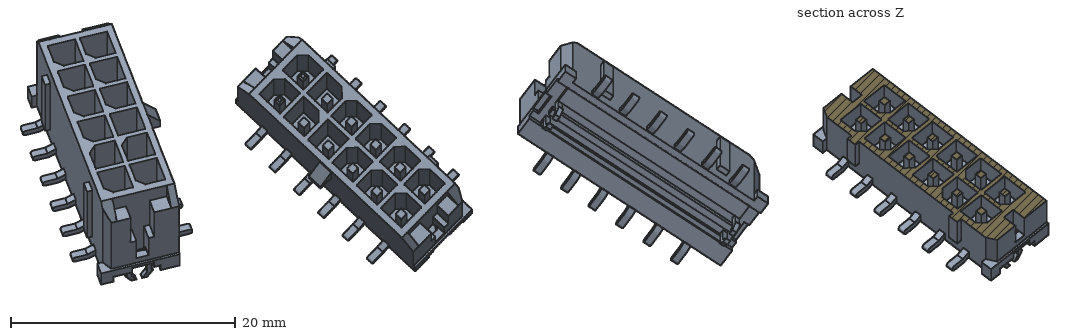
import cadquery as cq
import math


overall_length = 22.15
overall_depth = 11.2
overall_height = 11.96

pitch = 3.0
columns = 6
rows = 2

housing_top = 9.9
housing_depth = 6.86
housing_half_depth = housing_depth / 2
housing_half_length = 10.85
core_half_length = 9.45
shoulder_z = 8.3
corner_inset_x = 0.95
corner_inset_y = 0.52

foot_top = 1.63
foot_half_length = overall_length / 2
foot_inner_x = housing_half_length - corner_inset_x
foot_front_y = -3.93
foot_gap_z = 0.68
foot_gap_front_y = -2.76
foot_gap_back_y = 1.63
foot_notch_width = 2.02
foot_notch_depth = 0.55
foot_notch_top = 1.28

underside_z = 0.23
channel_width = 2.34
center_rib_width = 0.62

shoulder_recess_front_y = -2.38
shoulder_recess_back_y = 2.7
wide_slot_width = 2.2
wide_slot_floor = 4.78
narrow_slot_width = 1.14
narrow_slot_floor = 2.3
clip_pocket_floor = 1.6
clip_pocket_inner_x = 9.87
clip_pocket_outer_x = 10.15
clip_pocket_width = 0.84

cavity_size = 2.56
cavity_floor = 2.5
cavity_key = 0.7
square_cavities = [(3, 1)]
left_keyed_column = 4

contact_width = 0.7
contact_tip_z = 7.0
tapered_column = columns - 1
taper_tip_width = 0.3
taper_length = 0.2

lead_thickness = 0.61
lead_underside = -0.07
lead_reach = overall_depth / 2
lead_bend_y = 4.22
lead_slope = math.radians(22)
lead_embed = 0.5
lead_bend_radius = 0.8

rib_x = 6.34
rib_width = 1.03
rib_top = shoulder_z
rib_bottom = foot_top

hook_width = 1.43
hook_top = 9.33
hook_nose_top = 7.72
hook_underside = 6.97
hook_root_z = 6.47
hook_nose_y = 4.82
hook_curve_start_y = 4.0
hook_curve_radius = 1.0

clip_thickness = 0.48
clip_inner_x = foot_inner_x - clip_thickness
clip_tip_z = housing_top - overall_height
clip_leg_outer_y = 1.14
clip_leg_inner_y = 0.73
clip_barb_y = 1.28
clip_barb_top = -1.13
clip_barb_z = -1.27
clip_elbow_z = -1.37
clip_tip_outer_y = 0.72
clip_tip_inner_y = 0.26
clip_root_z = 1.0


def box(x_min, x_max, y_min, y_max, z_min, z_max):
    size = (x_max - x_min, y_max - y_min, z_max - z_min)
    return cq.Workplane("XY").box(*size, centered=False).translate((x_min, y_min, z_min))


def both_ends(left_feature):
    """The feature together with its mirror image at the other end of the part."""
    return left_feature.union(left_feature.mirror("YZ"))


def contact_positions():
    for column in range(columns):
        for row in range(rows):
            x = (column - (columns - 1) / 2) * pitch
            y = (row - (rows - 1) / 2) * pitch
            yield column, row, x, y


def make_housing():
    """Block with sloped top ends and chamfered front corners."""
    profile = [
        (-housing_half_length, 0),
        (housing_half_length, 0),
        (housing_half_length, shoulder_z),
        (core_half_length, housing_top),
        (-core_half_length, housing_top),
        (-housing_half_length, shoulder_z),
    ]
    block = cq.Workplane("XZ").polyline(profile).close().extrude(housing_half_depth, both=True)
    corner = (
        cq.Workplane("XY")
        .moveTo(-housing_half_length, -housing_half_depth)
        .lineTo(-foot_inner_x, -housing_half_depth)
        .lineTo(-housing_half_length, corner_inset_y - housing_half_depth)
        .close()
        .extrude(housing_top)
    )
    return block.cut(both_ends(corner))


def make_feet():
    foot = box(-foot_half_length, -foot_inner_x, foot_front_y, housing_half_depth, 0, foot_top)
    return both_ends(foot)


def make_underside_cut():
    """Clearances under the feet and a channel along the housing, split by a central rib."""
    gap = box(-foot_half_length, -foot_inner_x, foot_gap_front_y, foot_gap_back_y, 0, foot_gap_z)
    notch = box(
        -foot_half_length,
        -foot_half_length + foot_notch_depth,
        -foot_notch_width / 2,
        foot_notch_width / 2,
        0,
        foot_notch_top,
    )
    shallow = box(-foot_inner_x, foot_inner_x, foot_gap_front_y, foot_gap_back_y, 0, underside_z)
    half_channel = channel_width / 2
    channel = box(-foot_inner_x, foot_inner_x, -half_channel, half_channel, 0, foot_gap_z)
    half_rib = center_rib_width / 2
    rib = box(-foot_inner_x, foot_inner_x, -half_rib, half_rib, 0, foot_gap_z)
    return both_ends(gap.union(notch)).union(shallow.union(channel).cut(rib))


def make_end_recess():
    """Stepped recess in each end: open top, wide slot, narrow slot and clip pocket."""
    outer_x = -housing_half_length
    inner_x = -core_half_length
    recess = box(
        outer_x, inner_x, shoulder_recess_front_y, shoulder_recess_back_y, shoulder_z, housing_top
    )
    half_narrow = narrow_slot_width / 2
    for width, floor in [
        (wide_slot_width, wide_slot_floor),
        (narrow_slot_width, narrow_slot_floor),
    ]:
        recess = recess.union(box(outer_x, inner_x, -width / 2, width / 2, floor, housing_top))
    pocket = box(
        -clip_pocket_inner_x, inner_x, -half_narrow, half_narrow, clip_pocket_floor, narrow_slot_floor
    )
    pocket_tongue = box(
        -clip_pocket_outer_x,
        inner_x,
        -clip_pocket_width / 2,
        clip_pocket_width / 2,
        clip_pocket_floor,
        narrow_slot_floor,
    )
    return both_ends(recess.union(pocket).union(pocket_tongue))


def make_cavity(column, row):
    """Square socket, usually with one keyed front corner."""
    height = housing_top - cavity_floor
    cavity = cq.Workplane("XY").rect(cavity_size, cavity_size).extrude(height)
    if (column, row) not in square_cavities:
        side = "<X" if column == left_keyed_column else ">X"
        cavity = cavity.faces("<Y").edges(side).chamfer(cavity_key)
    return cavity


def make_contact(column):
    """Square post; the last column ends in a blunt pyramid."""
    height = contact_tip_z - cavity_floor
    if column != tapered_column:
        return cq.Workplane("XY").rect(contact_width, contact_width).extrude(height)
    shaft_height = height - taper_length
    post = cq.Workplane("XY").rect(contact_width, contact_width).extrude(shaft_height)
    tip = (
        cq.Workplane("XY", origin=(0, 0, shaft_height))
        .rect(contact_width, contact_width)
        .workplane(offset=taper_length)
        .rect(taper_tip_width, taper_tip_width)
        .loft(ruled=True)
    )
    return post.union(tip)


def make_back_lead():
    """Flat lead that slopes down out of the back wall and runs out level to a rounded tip."""
    root_y = housing_half_depth - lead_embed
    lead_top = lead_underside + lead_thickness
    lower_bend_y = lead_bend_y - lead_thickness * math.tan(lead_slope / 2)
    root_top = lead_top + (lead_bend_y - root_y) * math.tan(lead_slope)
    root_underside = lead_underside + (lower_bend_y - root_y) * math.tan(lead_slope)
    tip_start_y = lead_reach - lead_thickness / 2
    lead = (
        cq.Workplane("YZ")
        .moveTo(root_y, root_underside)
        .lineTo(lower_bend_y, lead_underside)
        .lineTo(tip_start_y, lead_underside)
        .threePointArc((lead_reach, lead_underside + lead_thickness / 2), (tip_start_y, lead_top))
        .lineTo(lead_bend_y, lead_top)
        .lineTo(root_y, root_top)
        .close()
        .extrude(contact_width / 2, both=True)
    )
    lower_bend = cq.selectors.NearestToPointSelector((0, lower_bend_y, lead_underside))
    return lead.edges(lower_bend).fillet(lead_bend_radius)


def make_ribs():
    half_width = rib_width / 2
    rib = box(
        -rib_x - half_width,
        -rib_x + half_width,
        foot_front_y,
        -housing_half_depth,
        rib_bottom,
        rib_top,
    )
    return both_ends(rib)


def make_hook():
    return (
        cq.Workplane("YZ")
        .moveTo(housing_half_depth, hook_top)
        .lineTo(hook_nose_y, hook_nose_top)
        .lineTo(hook_nose_y, hook_underside)
        .lineTo(hook_curve_start_y, hook_underside)
        .radiusArc((housing_half_depth, hook_root_z), -hook_curve_radius)
        .close()
        .extrude(hook_width / 2, both=True)
    )


def make_clips():
    """Pair of barbed spring legs at each end, with their tips bent inward."""
    outline = [
        (clip_leg_inner_y, clip_root_z),
        (clip_leg_outer_y, clip_root_z),
        (clip_leg_outer_y, clip_barb_top),
        (clip_barb_y, clip_barb_z),
        (clip_tip_outer_y, clip_tip_z),
        (clip_tip_inner_y, clip_tip_z),
        (clip_leg_inner_y, clip_elbow_z),
    ]
    leg = cq.Workplane("YZ").polyline(outline).close().extrude(clip_thickness)
    leg = leg.translate((clip_inner_x, 0, 0))
    return both_ends(leg.union(leg.mirror("XZ")))


result = make_housing().union(make_feet())
result = result.cut(make_underside_cut()).cut(make_end_recess())

for column, row, x, y in contact_positions():
    place = (x, y, cavity_floor)
    result = result.cut(make_cavity(column, row).translate(place))
    result = result.union(make_contact(column).translate(place))

back_lead = make_back_lead()
front_lead = back_lead.mirror("XZ")
for column, row, x, y in contact_positions():
    lead = back_lead if row == rows - 1 else front_lead
    result = result.union(lead.translate((x, 0, 0)))

result = result.union(make_ribs()).union(make_hook()).union(make_clips())